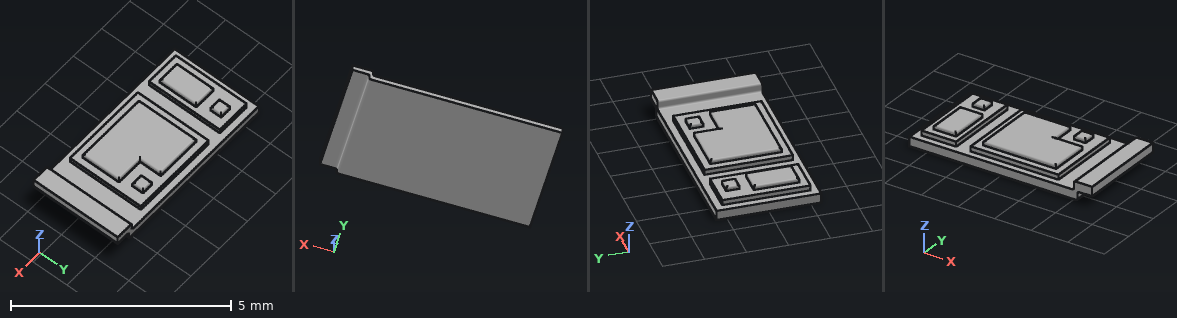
import cadquery as cq

LENGTH = 5.0
WIDTH = 2.5
HEIGHT = 0.48
SHEET = 0.25
STEP_TOP_X = 4.5
STEP_BOTTOM_X = 4.6
BEND_RADIUS = 0.055

PAD_MARGIN = 0.2
PAD_HEIGHT = 0.13
SMALL_PAD_LENGTH = 0.95
LARGE_PAD_X = 1.545
LARGE_PAD_LENGTH = 2.4

CHIP_MARGIN = 0.2
CHIP_EDGE_RADIUS = 0.05
CHIP_Y = PAD_MARGIN + CHIP_MARGIN
CHIP_FAR_Y = WIDTH - CHIP_Y
CHIP_SHOULDER_Y = 1.485
NARROW_CHIP_X = PAD_MARGIN + CHIP_MARGIN
NARROW_CHIP_LENGTH = 0.61
LARGE_CHIP_X = LARGE_PAD_X + CHIP_MARGIN
LARGE_CHIP_END_X = LARGE_PAD_X + LARGE_PAD_LENGTH - CHIP_MARGIN
LARGE_CHIP_NOTCH_X = 3.0
SQUARE_CHIP = 0.32
SQUARE_CHIP_XS = (0.545, 3.31)

PAD_TOP = SHEET + PAD_HEIGHT
CHIP_HEIGHT = HEIGHT - PAD_TOP


def make_plate():
    """Constant-thickness sheet with rounded step bends."""
    plate = (
        cq.Workplane("XZ")
        .polyline([
            (0, 0),
            (STEP_BOTTOM_X, 0),
            (STEP_BOTTOM_X, HEIGHT - SHEET),
            (LENGTH, HEIGHT - SHEET),
            (LENGTH, HEIGHT),
            (STEP_TOP_X, HEIGHT),
            (STEP_TOP_X, SHEET),
            (0, SHEET),
        ])
        .close()
        .extrude(-WIDTH)
    )
    tolerance = 0.005
    bends = cq.selectors.BoxSelector(
        (STEP_TOP_X - tolerance, -tolerance, -tolerance),
        (STEP_BOTTOM_X + tolerance, WIDTH + tolerance, HEIGHT + tolerance),
    )
    return plate.edges("|Y").edges(bends).fillet(BEND_RADIUS)


def rectangle(x, y, length, width):
    """Corner points of a rectangle starting at its lower-left corner."""
    return [(x, y), (x + length, y), (x + length, y + width), (x, y + width)]


def make_pad(x, length):
    outline = rectangle(x, PAD_MARGIN, length, WIDTH - 2 * PAD_MARGIN)
    return cq.Workplane("XY", origin=(0, 0, SHEET)).polyline(outline).close().extrude(PAD_HEIGHT)


def make_chip(outline):
    """Chip with rounded top edges and sharp vertical corners."""
    chip = cq.Workplane("XY", origin=(0, 0, PAD_TOP)).polyline(outline).close().extrude(CHIP_HEIGHT)
    return chip.faces(">Z").edges().fillet(CHIP_EDGE_RADIUS)


result = make_plate()
result = result.union(make_pad(PAD_MARGIN, SMALL_PAD_LENGTH))
result = result.union(make_pad(LARGE_PAD_X, LARGE_PAD_LENGTH))

narrow_chip = rectangle(NARROW_CHIP_X, CHIP_Y, NARROW_CHIP_LENGTH, CHIP_SHOULDER_Y - CHIP_Y)
large_chip = [
    (LARGE_CHIP_X, CHIP_Y),
    (LARGE_CHIP_END_X, CHIP_Y),
    (LARGE_CHIP_END_X, CHIP_SHOULDER_Y),
    (LARGE_CHIP_NOTCH_X, CHIP_SHOULDER_Y),
    (LARGE_CHIP_NOTCH_X, CHIP_FAR_Y),
    (LARGE_CHIP_X, CHIP_FAR_Y),
]
square_chips = [
    rectangle(x, CHIP_FAR_Y - SQUARE_CHIP, SQUARE_CHIP, SQUARE_CHIP)
    for x in SQUARE_CHIP_XS
]
for chip_outline in [narrow_chip, large_chip, *square_chips]:
    result = result.union(make_chip(chip_outline))